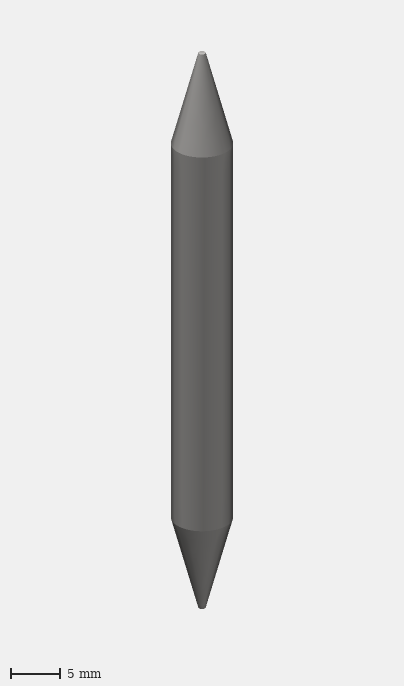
import cadquery as cq

total_length = 63.5
body_diameter = 6.35
tip_diameter = 0.75
cone_length = 10.35

body_radius = body_diameter / 2
tip_radius = tip_diameter / 2
half_length = total_length / 2
shoulder_height = half_length - cone_length

half_section = (
    cq.Workplane("XZ")
    .moveTo(0, -half_length)
    .lineTo(tip_radius, -half_length)
    .lineTo(body_radius, -shoulder_height)
    .lineTo(body_radius, shoulder_height)
    .lineTo(tip_radius, half_length)
    .lineTo(0, half_length)
    .close()
)

result = half_section.revolve(360, (0, 0, 0), (0, 1, 0))